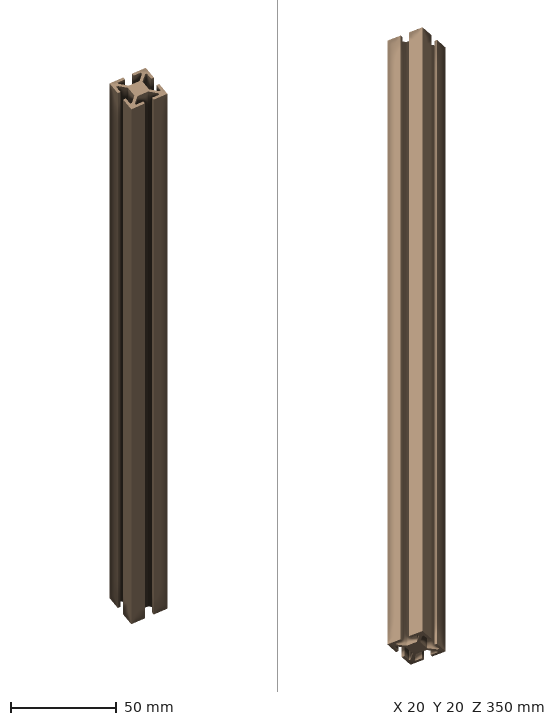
import cadquery as cq
import math

side = 20.0
length = 350.0
slot_opening = 5.0
lip_thickness = 1.5
cavity_width = 13.0
core_width = 8.0
web_thickness = 1.5

half_side = side / 2
half_opening = slot_opening / 2
half_cavity = cavity_width / 2
half_core = core_width / 2
lip_inner = half_side - lip_thickness
web_offset = web_thickness / math.sqrt(2)


def slot_cutter(angle):
    """T-slot along the full length of one side, opening toward +Y before rotation."""
    right_half = [
        (half_opening, half_side),
        (half_opening, lip_inner),
        (half_cavity, lip_inner),
        (half_cavity, half_cavity + web_offset),
        (half_core - web_offset, half_core),
    ]
    left_half = [(-x, y) for x, y in reversed(right_half)]
    cutter = cq.Workplane("XY").polyline(right_half + left_half).close().extrude(length)
    return cutter.rotate((0, 0, 0), (0, 0, 1), angle)


result = cq.Workplane("XY").rect(side, side).extrude(length)
for quarter_turn in range(4):
    result = result.cut(slot_cutter(90 * quarter_turn))